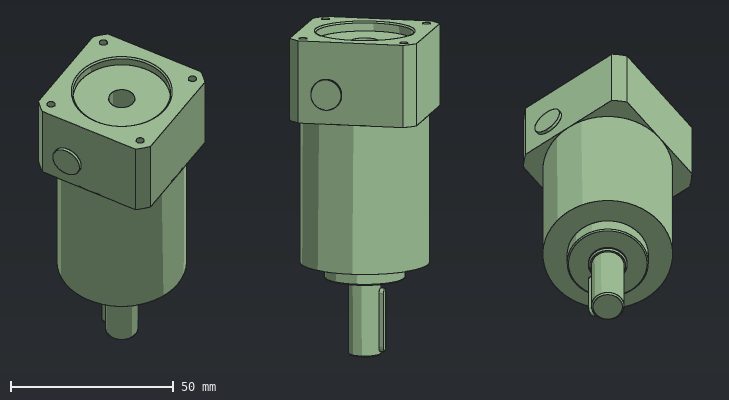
import cadquery as cq

total_height = 101.5
body_diameter = 40.0

shaft_diameter = 10.0
shaft_chamfer = 0.5
shaft_length = 29.0

pilot_diameter = 25.0
pilot_height = 5.0
pilot_chamfer = 0.4
collar_diameter = 12.0
collar_height = 1.0
collar_chamfer = 0.5

key_width = 3.0
key_length = 20.0
key_bottom = 1.1
key_reach = 6.3

flange_height = 25.8
flange_corner_diameter = 52.0

pocket_diameter = 30.0
pocket_depth = 3.0
pocket_chamfer = 0.5
chamfer_angle = 45
bore_diameter = 8.0
bore_depth = 20.3

bolt_circle_diameter = 45.0
bolt_hole_diameter = 2.4
bolt_hole_depth = 10.2
bolt_count = 4
bolt_start_angle = 45

plug_diameter = 9.5
plug_protrusion = 1.0
plug_embedded_length = 2.0
plug_offset = 7.5
plug_drop = 16.4

flange_bottom = total_height - flange_height
pilot_bottom = shaft_length - pilot_height
collar_bottom = pilot_bottom - collar_height
pocket_floor = total_height - pocket_depth


def cylinder(diameter, bottom, top):
    """Cylinder on the main axis between two heights."""
    return cq.Workplane("XY").workplane(offset=bottom).circle(diameter / 2).extrude(top - bottom)


def make_shaft():
    shaft = cylinder(shaft_diameter, 0, shaft_length).faces("<Z").chamfer(shaft_chamfer)
    collar = cylinder(collar_diameter, collar_bottom, shaft_length).faces("<Z").chamfer(collar_chamfer)
    pilot = cylinder(pilot_diameter, pilot_bottom, shaft_length).faces("<Z").chamfer(pilot_chamfer)
    return shaft.union(collar).union(pilot)


def make_key():
    """Round-ended key reaching from the shaft axis out through the shaft surface."""
    key_center = key_bottom + key_length / 2
    return (
        cq.Workplane("YZ")
        .center(0, key_center)
        .slot2D(key_length, key_width, 90)
        .extrude(-key_reach)
    )


def make_flange():
    square = (
        cq.Workplane("XY")
        .workplane(offset=flange_bottom)
        .rect(body_diameter, body_diameter)
        .extrude(flange_height)
    )
    return square.intersect(cylinder(flange_corner_diameter, flange_bottom, total_height))


def make_plugs():
    """Plugs set into the flange and standing proud of it, half a turn apart."""
    plug_height = total_height - plug_drop
    plug_reach = body_diameter / 2 + plug_protrusion
    plug = (
        cq.Workplane("XZ", origin=(-plug_offset, -plug_reach, plug_height))
        .circle(plug_diameter / 2)
        .extrude(-(plug_protrusion + plug_embedded_length))
    )
    return plug.union(plug.rotate((0, 0, 0), (0, 0, 1), 180))


def cut_motor_face(housing):
    pocket = cylinder(pocket_diameter, pocket_floor, total_height)
    bore = cylinder(bore_diameter, pocket_floor - bore_depth, pocket_floor)
    lead_in = (
        cq.Workplane("XY")
        .workplane(offset=total_height)
        .circle(pocket_diameter / 2 + pocket_chamfer)
        .extrude(-pocket_chamfer, taper=chamfer_angle)
    )
    bolt_holes = (
        cq.Workplane("XY")
        .workplane(offset=total_height)
        .polarArray(bolt_circle_diameter / 2, bolt_start_angle, 360, bolt_count)
        .circle(bolt_hole_diameter / 2)
        .extrude(-bolt_hole_depth)
    )
    return housing.cut(pocket).cut(bore).cut(lead_in).cut(bolt_holes)


body = cylinder(body_diameter, shaft_length, flange_bottom)
housing = body.union(make_flange()).union(make_plugs())
result = cut_motor_face(housing).union(make_shaft()).union(make_key())